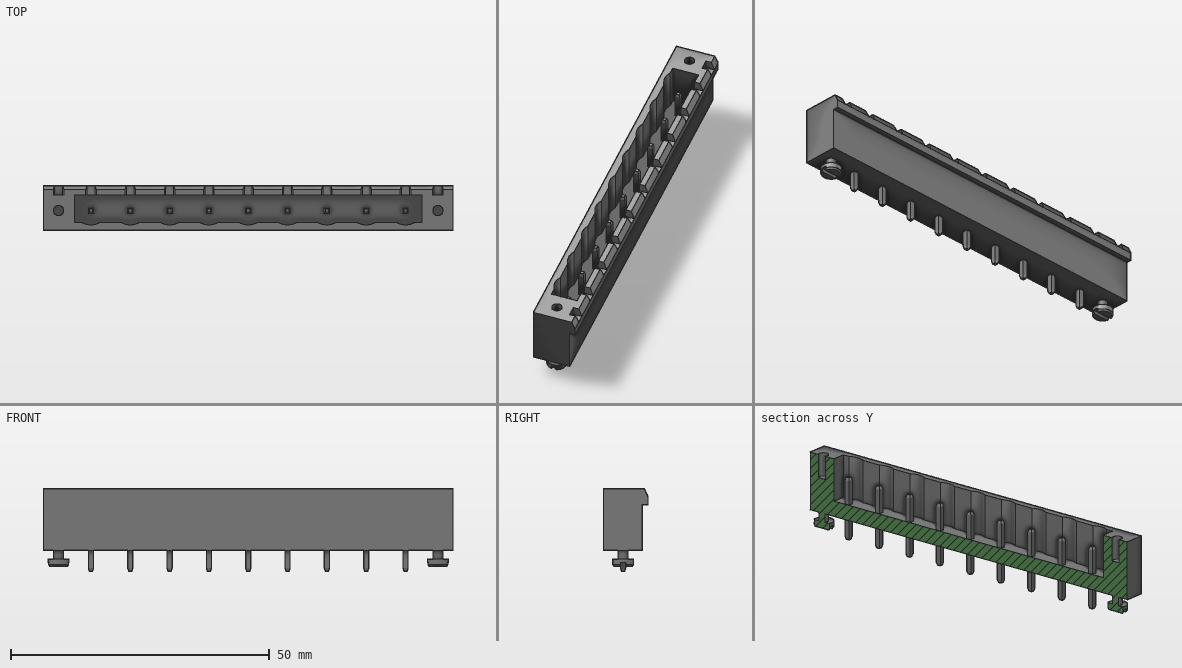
import cadquery as cq

LENGTH = 79.15
BODY_DEPTH = 7.5
BODY_HEIGHT = 11.95

LIP_DEPTH = 8.6
LIP_TOP_DEPTH = 7.9
LIP_CHAMFER_DROP = 1.5
LIP_HEIGHT = 3.2

PIN_COUNT = 9
PIN_PITCH = 7.6
PIN_SIZE = 1.0
PIN_TIP_SIZE = 0.6
PIN_TIP_LENGTH = 0.6
PIN_BOTTOM = -16.0
CENTER_Y = 3.8

END_WALL = 6.0
POCKET_FRONT = 1.5
POCKET_BACK = 6.8
POCKET_DEPTH = 8.7
PIN_TOP = -3.2
SCALLOP_WIDTH = 3.5
SCALLOP_RISE = 0.5

NOTCH_TOP_WIDTH = 2.05
NOTCH_BOTTOM_WIDTH = 1.5
NOTCH_DEPTH = 1.5

SCREW_INSET = 2.9
SCREW_DIAMETER = 2.0
SCREW_LENGTH = 1.7
HEAD_DIAMETER = 4.0
HEAD_HEIGHT = 1.4
HEAD_CHAMFER_HEIGHT = 0.4
HEAD_CHAMFER_INSET = 0.2
SLOT_WIDTH = 0.95
SLOT_DEPTH = 0.7
SCREW_HOLE_DIAMETER = SCREW_DIAMETER
SCREW_HOLE_DEPTH = 4.75

PIN_XS = [(i - (PIN_COUNT - 1) / 2) * PIN_PITCH for i in range(PIN_COUNT)]
SCREW_X = LENGTH / 2 - SCREW_INSET
SCREW_XS = [-SCREW_X, SCREW_X]


def make_housing():
    """Extrude the side profile with its overhanging lip along X."""
    profile = [
        (0, -BODY_HEIGHT),
        (BODY_DEPTH, -BODY_HEIGHT),
        (BODY_DEPTH, -LIP_HEIGHT),
        (LIP_DEPTH, -LIP_HEIGHT),
        (LIP_DEPTH, -LIP_CHAMFER_DROP),
        (LIP_TOP_DEPTH, 0),
        (0, 0),
    ]
    return cq.Workplane("YZ").polyline(profile).close().extrude(LENGTH / 2, both=True)


def make_pocket():
    """Rectangular socket whose front wall is scalloped beside each contact."""
    half_length = LENGTH / 2 - END_WALL
    outline = cq.Workplane("XY").moveTo(-half_length, POCKET_FRONT)
    for x in PIN_XS:
        outline = outline.lineTo(x - SCALLOP_WIDTH / 2, POCKET_FRONT).threePointArc(
            (x, POCKET_FRONT - SCALLOP_RISE), (x + SCALLOP_WIDTH / 2, POCKET_FRONT)
        )
    outline = outline.lineTo(half_length, POCKET_FRONT)
    outline = outline.lineTo(half_length, POCKET_BACK).lineTo(-half_length, POCKET_BACK)
    return outline.close().extrude(-POCKET_DEPTH)


def make_notch(x):
    """Tapered notch through the back wall, narrower at its floor."""
    outline = [
        (x - NOTCH_TOP_WIDTH / 2, 0),
        (x + NOTCH_TOP_WIDTH / 2, 0),
        (x + NOTCH_BOTTOM_WIDTH / 2, -NOTCH_DEPTH),
        (x - NOTCH_BOTTOM_WIDTH / 2, -NOTCH_DEPTH),
    ]
    plane = cq.Workplane("XZ", origin=(0, POCKET_BACK, 0))
    return plane.polyline(outline).close().extrude(POCKET_BACK - LIP_DEPTH)


def make_pin(x):
    """Square contact with tapered tips at both ends."""
    shaft_length = PIN_TOP - PIN_BOTTOM - 2 * PIN_TIP_LENGTH
    shaft_bottom = cq.Workplane("XY", origin=(x, CENTER_Y, PIN_BOTTOM + PIN_TIP_LENGTH))
    pin = shaft_bottom.rect(PIN_SIZE, PIN_SIZE).extrude(shaft_length)
    for face in ("<Z", ">Z"):
        tip = pin.faces(face).workplane().rect(PIN_SIZE, PIN_SIZE)
        pin = tip.workplane(offset=PIN_TIP_LENGTH).rect(PIN_TIP_SIZE, PIN_TIP_SIZE).loft(combine=True)
    return pin


def make_screw(x):
    """Screw shank below the housing with a chamfered head, slotted along X."""
    base = cq.Workplane("XY", origin=(x, CENTER_Y, -BODY_HEIGHT))
    shank = base.circle(SCREW_DIAMETER / 2).extrude(-SCREW_LENGTH)
    head = base.workplane(offset=-SCREW_LENGTH).circle(HEAD_DIAMETER / 2).extrude(-HEAD_HEIGHT)
    head = head.faces("<Z").chamfer(HEAD_CHAMFER_HEIGHT, HEAD_CHAMFER_INSET)
    head_bottom = base.workplane(offset=-SCREW_LENGTH - HEAD_HEIGHT)
    slot = head_bottom.rect(HEAD_DIAMETER, SLOT_WIDTH).extrude(SLOT_DEPTH)
    return shank.union(head.cut(slot))


def make_screw_hole(x):
    """Blind hole in the top of each end block."""
    top = cq.Workplane("XY", origin=(x, CENTER_Y, 0))
    return top.circle(SCREW_HOLE_DIAMETER / 2).extrude(-SCREW_HOLE_DEPTH)


result = make_housing().cut(make_pocket())
for notch_x in PIN_XS + SCREW_XS:
    result = result.cut(make_notch(notch_x))
for pin_x in PIN_XS:
    result = result.union(make_pin(pin_x))
for screw_x in SCREW_XS:
    result = result.cut(make_screw_hole(screw_x)).union(make_screw(screw_x))